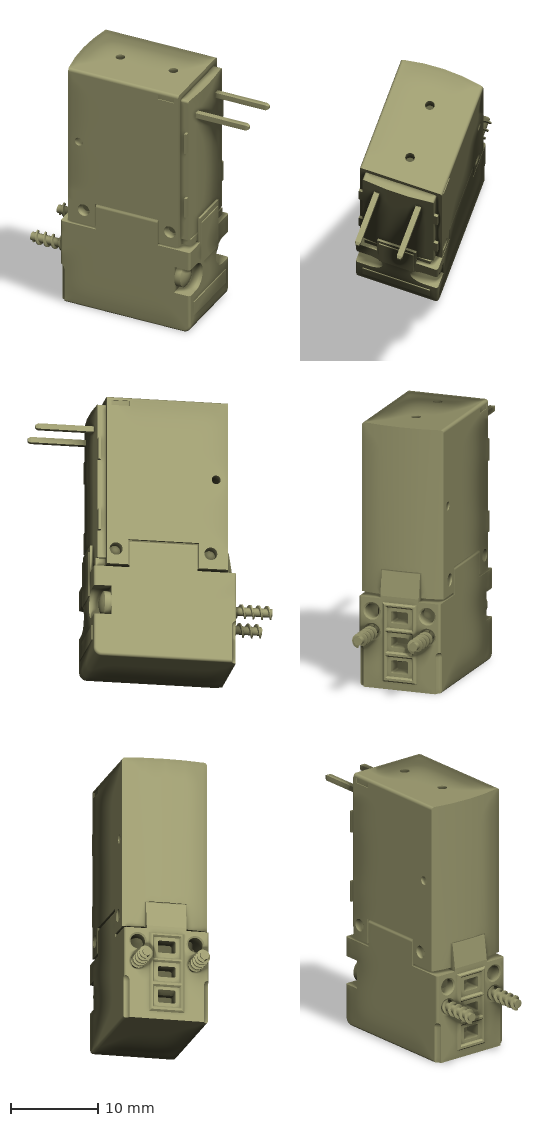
import cadquery as cq
import math

SIDES = (-1, 1)

base_length = 16.6
base_width = 10.0
ledge_z = 10.74
base_edge_radius = 0.3
base_heel_radius = 0.9
base_half = base_width / 2

scoop_radius = 0.6
scoop_center_x = -0.08
scoop_top_z = 4.4

seat_gap = 0.34
seat_z = ledge_z + seat_gap
tab_thickness = 0.3
tab_inner_y = base_half - tab_thickness
tab_clearance = 0.14
tab_top_z = 13.97
socket_top_z = tab_top_z + tab_clearance
front_tab_width = 4.72
front_tab_back_x = 0.66
front_tab_tip_x = 0.44
core_corner_x = 0.1
core_corner_y = 0.36
side_tab_start_x = 4.54
side_tab_end_x = 12.45
side_tab_top_radius = 0.33
back_tab_start_x = 16.34

coil_width = 10.02
coil_half = coil_width / 2
coil_front_x = 0.46
coil_corner_x = 1.02
coil_back_x = 15.1
coil_top_z = 31.25
coil_edge_radius = 0.35

lid_half = 4.33
lid_top_z = 30.44
lid_bottom_z = 11.95
lid_edge_x = 16.06
lid_back_x = 16.33
lid_edge_radius = 0.26
foot_half = 4.0
foot_back_x = 16.28
catch_start_x = 15.74
catch_half = 4.8
catch_spans_z = ((23.7, 26.3), (15.2, 17.7))

pin_size = 0.65
pin_tip_size = 0.36
pin_y = 2.54
pin_z = 27.9
pin_shoulder_x = 22.68
pin_tip_x = 23.0
pin_root_x = 15.6

vent_xs = (5.21, 12.0)
vent_diameter = 1.1
vent_depth = 1.5
side_hole_xs = (3.0, 14.03)
side_hole_z = 12.9
side_hole_diameter = 1.5
side_hole_floor_diameter = 1.3
side_hole_depth = 1.0
cross_hole_x = 2.38
cross_hole_z = 21.87
cross_hole_diameter = 1.03
mark_span_x = (12.5, 14.6)
mark_span_z = (30.22, 30.82)
mark_depth = 0.1

screw_y = 3.4
screw_z = 6.67
screw_tip_x = -4.4
shank_radius = 0.5
thread_radius = 0.83
thread_pitch = 1.0
thread_crest = 0.16
thread_root = 0.32
thread_overlap = 0.08
thread_end_x = 0.3
head_radius = 1.48
head_seat_x = 14.55
head_rim_x = 15.3
head_dome_height = 0.46
head_bore_radius = 1.72

front_hole_radius = 0.86
front_hole_rim_radius = 1.05
front_hole_rim_depth = 0.12
screw_hole_depth = 1.0
locating_hole_z = 9.15
locating_hole_depth = 3.8
inner_post_half = 3.85
inner_post_front_x = 0.6
inner_post_radius = 3.0

gasket_height = 0.23
gasket_half = 2.1
gasket_span_z = (0.9, 10.33)
gasket_slope_y = 0.27
gasket_slope_z = 0.2
window_half = 1.51
window_slope_y = 0.18
window_slope_z = 0.2
window_spans_z = ((7.36, 9.77), (4.55, 6.79), (1.57, 3.88))
port_half = 1.04
port_spans_z = ((7.93, 9.36), (5.05, 6.31), (1.97, 3.52))
port_corner_radius = 0.2
port_depth = 2.0
port_floor_bulge = 0.12
port_ceiling_drop = 0.36
port_ceiling_slope_length = 1.0

pad_thickness = 0.12
rear_pads = ((2.1, (7.94, 13.3)), (4.1, (2.04, 3.8)))


def block(span_x, span_y, span_z):
    """Box given by its limits along X, Y and Z."""
    size = [span[1] - span[0] for span in (span_x, span_y, span_z)]
    corner = (span_x[0], span_y[0], span_z[0])
    return cq.Workplane("XY").box(*size, centered=False).translate(corner)


def side_block(span_x, side, inner_y, outer_y, span_z):
    """Box on one side of the symmetry plane, between two distances from it."""
    span_y = sorted((side * inner_y, side * outer_y))
    return block(span_x, span_y, span_z)


def rod_x(start_x, end_x, y, z, radius):
    """Cylinder along X."""
    plane = cq.Workplane("YZ", origin=(start_x, y, z))
    return plane.circle(radius).extrude(end_x - start_x)


def rectangle_x(x, half_y, span_z, grow_y, grow_z):
    """Rectangle wire at constant X, grown on every side."""
    height = span_z[1] - span_z[0] + 2 * grow_z
    plane = cq.Workplane("YZ", origin=(x, 0, sum(span_z) / 2))
    return plane.rect(2 * (half_y + grow_y), height).val()


def frustum_x(start_x, end_x, half_y, span_z, grow_y, grow_z):
    """Rectangular frustum along X whose far end is grown along Y and Z."""
    near = rectangle_x(start_x, half_y, span_z, 0, 0)
    far = rectangle_x(end_x, half_y, span_z, grow_y, grow_z)
    return cq.Workplane(cq.Solid.makeLoft([near, far], True))


def base_block():
    body = block((0, base_length), (-base_half, base_half), (0, ledge_z))
    body = body.edges(">X and <Z").fillet(base_heel_radius)
    side_edges = body.faces("<Y or >Y").edges("not >Z")
    body = body.newObject(side_edges.vals()).fillet(base_edge_radius)
    for side in SIDES:
        corner = (scoop_center_x, side * base_half)
        groove = cq.Workplane("XY").center(*corner).circle(scoop_radius).extrude(scoop_top_z)
        dome = cq.Workplane("XY").sphere(scoop_radius).translate((*corner, scoop_top_z))
        body = body.cut(groove).cut(dome)
    return body


def seat_core():
    """Low cross-shaped core under the coil that links the four tabs, with bevelled inner corners."""
    arm_half = front_tab_width / 2
    span_z = (ledge_z, seat_z)
    long_arm = block((0, base_length), (-arm_half, arm_half), span_z)
    cross_arm = block((side_tab_start_x, side_tab_end_x), (-base_half, base_half), span_z)
    bevel_y = arm_half + core_corner_y
    bevel_start_x = side_tab_start_x - core_corner_x
    bevel_end_x = side_tab_end_x + core_corner_x
    bevels = (
        cq.Workplane("XY", origin=(0, 0, ledge_z))
        .polyline([
            (bevel_start_x, -arm_half),
            (side_tab_start_x, -bevel_y),
            (side_tab_end_x, -bevel_y),
            (bevel_end_x, -arm_half),
            (bevel_end_x, arm_half),
            (side_tab_end_x, bevel_y),
            (side_tab_start_x, bevel_y),
            (bevel_start_x, arm_half),
        ])
        .close()
        .extrude(seat_gap)
    )
    return long_arm.union(cross_arm).union(bevels)


def front_tab():
    profile = [
        (0, ledge_z),
        (front_tab_back_x, ledge_z),
        (front_tab_back_x, tab_top_z),
        (front_tab_tip_x, tab_top_z),
        (0, seat_z),
    ]
    return cq.Workplane("XZ").polyline(profile).close().extrude(front_tab_width / 2, both=True)


def side_tab(side):
    span_x = (side_tab_start_x, side_tab_end_x)
    tab = side_block(span_x, side, tab_inner_y - tab_thickness, base_half, (ledge_z, tab_top_z))
    outer_face = ">Y" if side > 0 else "<Y"
    tab = tab.edges(f"{outer_face} and >Z").fillet(side_tab_top_radius)
    return tab.intersect(side_block(span_x, side, tab_inner_y, base_half, (ledge_z, tab_top_z)))


def back_tab():
    half = front_tab_width / 2
    return block((back_tab_start_x, base_length), (-half, half), (ledge_z, tab_top_z))


def front_hole(y, z, depth):
    rim = cq.Workplane(
        cq.Solid.makeCone(
            front_hole_rim_radius,
            front_hole_radius,
            front_hole_rim_depth,
            cq.Vector(0, y, z),
            cq.Vector(1, 0, 0),
        )
    )
    return rim.union(rod_x(0, depth, y, z, front_hole_radius))


def inner_post():
    """Round-cornered inner wall that shows inside the locating holes."""
    post = block((inner_post_front_x, base_length), (-inner_post_half, inner_post_half), (0, ledge_z))
    return post.edges("|Z and <X").fillet(inner_post_radius)


def gasket():
    rim = frustum_x(0, -gasket_height, gasket_half, gasket_span_z, -gasket_slope_y, -gasket_slope_z)
    for span_z in window_spans_z:
        window = frustum_x(0, -gasket_height, window_half, span_z, window_slope_y, window_slope_z)
        rim = rim.cut(window)
    return rim


def port(span_z):
    """Rectangular port with a gently bulging floor."""
    cavity = block((0, port_depth), (-port_half, port_half), span_z)
    cavity = cavity.edges("|X").fillet(port_corner_radius)
    floor = (
        cq.Workplane("XY", origin=(0, 0, span_z[0]))
        .moveTo(port_depth, -port_half)
        .threePointArc((port_depth - port_floor_bulge, 0), (port_depth, port_half))
        .close()
        .extrude(span_z[1] - span_z[0])
    )
    return cavity.cut(floor)


def port_ceiling(span_z):
    """Filler that slopes a port's ceiling down, then runs level to its floor."""
    top_z = span_z[1]
    low_z = top_z - port_ceiling_drop
    profile = [(0, top_z), (port_depth, top_z), (port_depth, low_z), (port_ceiling_slope_length, low_z)]
    return cq.Workplane("XZ").polyline(profile).close().extrude(port_half, both=True)


def head_bore(side):
    """Bore for a screw head, open to the rear and to the side of the base."""
    bore = rod_x(head_seat_x, base_length + pad_thickness, side * screw_y, screw_z, head_bore_radius)
    span_z = (screw_z - head_bore_radius, screw_z + head_bore_radius)
    span_x = (head_seat_x, base_length + pad_thickness)
    return bore.union(side_block(span_x, side, screw_y, base_half, span_z))


def thread():
    """Helical ridge around the X axis, starting flush with the screw tip."""
    start_x = screw_tip_x + thread_root / 2
    length = thread_end_x - start_x
    root_radius = shank_radius - thread_overlap
    helix = cq.Wire.makeHelix(thread_pitch, length, root_radius)
    ridge = (
        cq.Workplane("XZ")
        .polyline([
            (root_radius, -thread_root / 2),
            (thread_radius, -thread_crest / 2),
            (thread_radius, thread_crest / 2),
            (root_radius, thread_root / 2),
        ])
        .close()
        .sweep(cq.Workplane(helix), isFrenet=True)
    )
    return ridge.rotate((0, 0, 0), (0, 1, 0), 90).translate((start_x, 0, 0))


def screw():
    """Screw on the X axis: shank with thread at the front, domed head at the rear."""
    dome_x = head_rim_x + head_dome_height
    dome_radius = (head_radius**2 + head_dome_height**2) / (2 * head_dome_height)
    mid_y = head_radius / 2
    mid_x = dome_x - dome_radius + math.sqrt(dome_radius**2 - mid_y**2)
    head = (
        cq.Workplane("XY")
        .moveTo(head_seat_x, 0)
        .lineTo(head_seat_x, head_radius)
        .lineTo(head_rim_x, head_radius)
        .threePointArc((mid_x, mid_y), (dome_x, 0))
        .close()
        .revolve(360, (0, 0, 0), (1, 0, 0))
    )
    shank = rod_x(screw_tip_x, head_seat_x, 0, 0, shank_radius)
    return shank.union(thread()).union(head)


def make_valve_base():
    body = base_block().union(seat_core()).union(front_tab()).union(back_tab())
    for side in SIDES:
        body = body.union(side_tab(side))
    for half, span_z in rear_pads:
        body = body.union(block((base_length, base_length + pad_thickness), (-half, half), span_z))

    body = body.union(gasket())
    for span_z in port_spans_z:
        body = body.cut(port(span_z))
    body = body.union(port_ceiling(port_spans_z[-1]))

    for side in SIDES:
        locating_hole = front_hole(side * screw_y, locating_hole_z, locating_hole_depth)
        body = body.cut(locating_hole.cut(inner_post()))
        body = body.cut(front_hole(side * screw_y, screw_z, screw_hole_depth))
        body = body.cut(head_bore(side))
        body = body.union(screw().translate((0, side * screw_y, screw_z)))
    return body


def coil_block():
    """Coil housing with a bowed front face and rounded upper side edges."""
    height = coil_top_z - seat_z
    bounds = block((coil_front_x, coil_back_x), (-coil_half, coil_half), (seat_z, coil_top_z))
    bounds = bounds.edges("|X and >Z").fillet(coil_edge_radius)
    plan = (
        cq.Workplane("XY", origin=(0, 0, seat_z))
        .moveTo(coil_back_x, -coil_half)
        .lineTo(coil_corner_x, -coil_half)
        .threePointArc((coil_front_x, 0), (coil_corner_x, coil_half))
        .lineTo(coil_back_x, coil_half)
        .close()
        .extrude(height)
    )
    return plan.intersect(bounds)


def rear_lid():
    """Lid with a bowed back face, its foot and the catches along its sides."""
    bounds = block((coil_back_x, lid_back_x), (-lid_half, lid_half), (lid_bottom_z, lid_top_z))
    bounds = bounds.edges("|X and >Z").fillet(lid_edge_radius)
    lid = (
        cq.Workplane("XY", origin=(0, 0, lid_bottom_z))
        .moveTo(coil_back_x, -lid_half)
        .lineTo(lid_edge_x, -lid_half)
        .threePointArc((lid_back_x, 0), (lid_edge_x, lid_half))
        .lineTo(coil_back_x, lid_half)
        .close()
        .extrude(lid_top_z - lid_bottom_z)
        .intersect(bounds)
    )
    lid = lid.union(block((coil_back_x, foot_back_x), (-foot_half, foot_half), (seat_z, lid_bottom_z)))
    for span_z in catch_spans_z:
        lid = lid.union(block((catch_start_x, lid_edge_x), (-catch_half, catch_half), span_z))
    return lid


def contact_pin(y):
    """Square pin along X with a tapered tip."""
    tip_height = pin_tip_x - pin_shoulder_x
    taper = math.degrees(math.atan((pin_size - pin_tip_size) / 2 / tip_height))
    pin = cq.Workplane("YZ", origin=(pin_root_x, y, pin_z))
    pin = pin.rect(pin_size, pin_size).extrude(pin_shoulder_x - pin_root_x)
    tip = cq.Workplane("YZ", origin=(pin_shoulder_x, y, pin_z))
    return pin.union(tip.rect(pin_size, pin_size).extrude(tip_height, taper=taper))


def coil_sockets():
    """Recesses that take the front and side tabs of the base."""
    front_half = front_tab_width / 2 + tab_clearance
    sockets = block((0, front_tab_back_x), (-front_half, front_half), (seat_z, socket_top_z))
    span_x = (side_tab_start_x - tab_clearance, side_tab_end_x + tab_clearance)
    for side in SIDES:
        sockets = sockets.union(side_block(span_x, side, tab_inner_y, coil_half, (seat_z, socket_top_z)))
    return sockets


def side_hole(x, side):
    """Blind hole that narrows towards its floor."""
    mouth = cq.Vector(x, side * coil_half, side_hole_z)
    inward = cq.Vector(0, -side, 0)
    radii = (side_hole_diameter / 2, side_hole_floor_diameter / 2)
    return cq.Workplane(cq.Solid.makeCone(*radii, side_hole_depth, mouth, inward))


def coil_holes():
    vents = cq.Workplane("XY", origin=(0, 0, coil_top_z - vent_depth))
    vents = vents.pushPoints([(x, 0) for x in vent_xs]).circle(vent_diameter / 2).extrude(vent_depth)
    cross = cq.Workplane("XZ").center(cross_hole_x, cross_hole_z)
    holes = vents.union(cross.circle(cross_hole_diameter / 2).extrude(coil_half, both=True))
    for side in SIDES:
        for x in side_hole_xs:
            holes = holes.union(side_hole(x, side))
        holes = holes.union(side_block(mark_span_x, side, coil_half - mark_depth, coil_half, mark_span_z))
    return holes


def make_coil_unit():
    body = coil_block().union(rear_lid())
    for side in SIDES:
        body = body.union(contact_pin(side * pin_y))
    return body.cut(coil_sockets()).cut(coil_holes())


valve_base = make_valve_base()
coil_unit = make_coil_unit()

result = cq.Compound.makeCompound([valve_base.val(), coil_unit.val()])